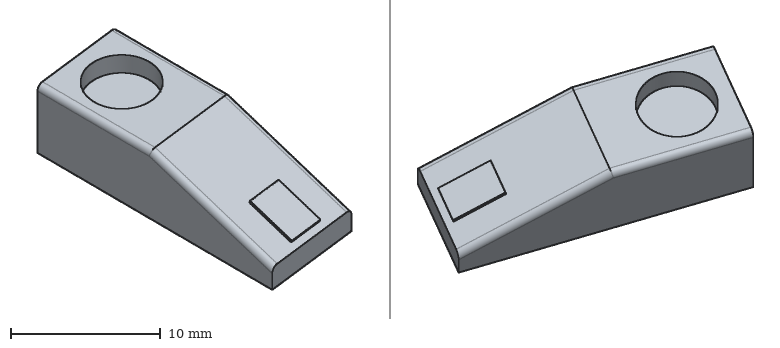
import cadquery as cq
import math

length = 21.0
width = 8.0
height = 6.0
nose_height = 2.0
slope_start = 10.08
edge_radius = 0.5

pocket_diameter = 5.5
pocket_depth = 1.6
pocket_x = 4.0

pad_length = 4.0
pad_width = 2.88
pad_thickness = 0.2
pad_center_x = 18.55

slope_angle = math.atan2(height - nose_height, length - slope_start)


def make_body():
    """Extrude the side outline and round the long upper edges."""
    body = (
        cq.Workplane("XZ")
        .polyline([
            (0, 0),
            (length, 0),
            (length, nose_height),
            (slope_start, height),
            (0, height),
        ])
        .close()
        .extrude(width / 2, both=True)
    )
    upper_faces = body.faces("not (<X or >X or <Y or >Y or <Z)")
    return upper_faces.edges("not |Y").fillet(edge_radius)


def make_pocket():
    """Cylinder removed from the flat top."""
    return (
        cq.Workplane("XY", origin=(pocket_x, 0, height - pocket_depth))
        .circle(pocket_diameter / 2)
        .extrude(pocket_depth)
    )


def make_pad():
    """Rectangular plate standing on the slope, square to it."""
    pad_center_z = height - (pad_center_x - slope_start) * math.tan(slope_angle)
    slope_plane = cq.Plane(
        origin=(pad_center_x, 0, pad_center_z),
        xDir=(math.cos(slope_angle), 0, -math.sin(slope_angle)),
        normal=(math.sin(slope_angle), 0, math.cos(slope_angle)),
    )
    return cq.Workplane(slope_plane).rect(pad_length, pad_width).extrude(pad_thickness)


result = make_body().cut(make_pocket()).union(make_pad())